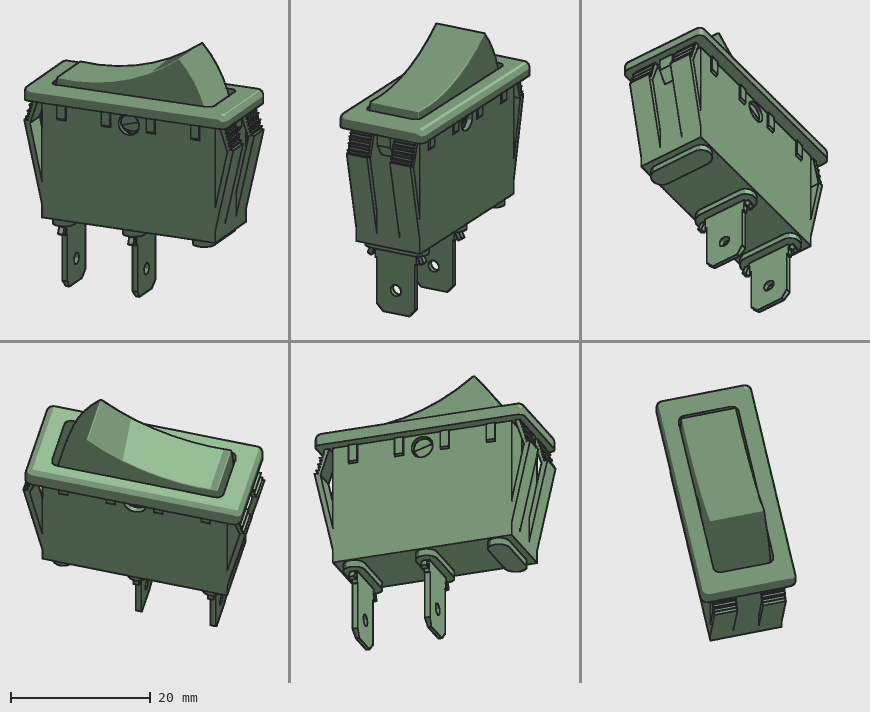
import cadquery as cq

BEZEL_X = 31.9
BEZEL_Y = 13.9
BEZEL_Z = 2.1
BEZEL_ROUND = 1.0
ROUND_GAP = 0.005
WINDOW_X = 25.35
WINDOW_Y = 8.78
WINDOW_ROUND = 1.0
WINDOW_FLOOR = -3.75

BODY_X = 27.3
BODY_Y = 10.45
BODY_Z = 17.92
BODY_SIDE = BODY_X / 2
BODY_FACE = BODY_Y / 2

RIB_PITCH = 7.0
RIB_COUNT = 4
RIB_X = 1.3
RIB_Z = 2.8
RIB_OUT = 0.25

WEDGE_Y = 2.15
WEDGE_OUT = 1.25
WEDGE_FLAT_Z = 2.02
WEDGE_Z = 3.85

CLIP_Y_INNER = 1.88
CLIP_TOP_INNER = 14.18
CLIP_TOP_OUTER = 14.9
CLIP_KNEE_INNER = 15.52
CLIP_KNEE_INNER_Z = -3.95
CLIP_ROOT_INNER_Z = -12.5
CLIP_ROOT_OUTER_Z = -15.98
CLIP_TIP = 16.45
TOOTH_START = 15.08
TOOTH_START_Z = -0.7
TOOTH_PAIRS = 3
TOOTHED_Z = 2.85
TOOTH_Z = TOOTHED_Z / (2 * TOOTH_PAIRS)
TOOTH_PAIR_STEP = 0.27
SMALL_TOOTH = 0.25
SMALL_TOOTH_FOOT = 0.13
LARGE_TOOTH = 0.6

FOOT_PITCH = 11.02
FOOT_PLACES = (-FOOT_PITCH, 0, FOOT_PITCH)
FOOT_WIDTH = 3.2
FOOT_LENGTH = 10.0
FOOT_Z = 1.0
TERMINAL_PLACES = FOOT_PLACES[:2]
TERMINAL_THICK = 0.82
TERMINAL_END = -28.9
SHOULDER_HALF = 3.45
SHOULDER_Z = -19.3
NECK_HALF = 3.38
NECK_Z = -20.78
BLADE_HALF = 3.1
TIP_CHAMFER = 0.98
TIP_Z = 1.12
TIP_THIN = 0.15
TERMINAL_HOLE = 1.7
TERMINAL_HOLE_Z = -25.28
BARB = ((4.2, SHOULDER_Z), (4.6, -20.25), (4.05, -20.6), (3.6, -19.7))

PIVOT_Z = -1.95
TILT = 16.0
ROCKER_Y = 8.0
ROCKER_TIP = (10.0, 8.15)
ROCKER_SIDE = (11.32, 4.9)
ROCKER_LOW_SIDE = (12.0, 0.55)
ROCKER_BOTTOM = -3.38
ROCKER_DIP_Z = 6.3
ROCKER_ROUND = 0.15
PIVOT_HOLE = 3.2
PIN = 2.8
PIN_RECESS = 0.38
RAMP_DEPTH = 0.82


def block(x, y, z_low, z_high):
    """Block centered on the Z axis between two heights."""
    return cq.Workplane("XY", origin=(0, 0, z_low)).rect(x, y).extrude(z_high - z_low)


def across_y(points, y_low, y_high):
    """Prism of an XZ outline between two Y places."""
    outline = cq.Workplane("XZ", origin=(0, y_low, 0)).polyline(points).close()
    return outline.extrude(y_low - y_high)


def both_x(shape):
    """The shape joined with its mirror image across X = 0."""
    return shape.union(shape.mirror("YZ"))


def both_y(shape):
    """The shape joined with its mirror image across Y = 0."""
    return shape.union(shape.mirror("XZ"))


def housing():
    bezel = block(BEZEL_X, BEZEL_Y, 0, BEZEL_Z).edges("|Z").fillet(BEZEL_ROUND)
    bezel = bezel.faces(">Z").edges().fillet(BEZEL_ROUND - ROUND_GAP)
    window = block(WINDOW_X, WINDOW_Y, WINDOW_FLOOR, BEZEL_Z).edges("|Z").fillet(WINDOW_ROUND)
    return bezel.union(block(BODY_X, BODY_Y, -BODY_Z, 0)).cut(window)


def ribs():
    profile = [
        (-BODY_FACE - RIB_OUT, 0),
        (-BODY_FACE - RIB_OUT, RIB_OUT - RIB_Z),
        (-BODY_FACE, -RIB_Z),
        (-BODY_FACE + RIB_OUT, -RIB_Z),
        (-BODY_FACE + RIB_OUT, 0),
    ]
    row = cq.Workplane("XY")
    for index in range(RIB_COUNT):
        x = (index - (RIB_COUNT - 1) / 2) * RIB_PITCH
        rib = cq.Workplane("YZ", origin=(x, 0, 0)).polyline(profile).close().extrude(RIB_X / 2, both=True)
        row = row.union(rib)
    return both_y(row)


def wedges():
    profile = [
        (BODY_SIDE, 0),
        (BODY_SIDE + WEDGE_OUT, 0),
        (BODY_SIDE + WEDGE_OUT, -WEDGE_FLAT_Z),
        (BODY_SIDE, -WEDGE_Z),
    ]
    return both_x(across_y(profile, -WEDGE_Y / 2, WEDGE_Y / 2))


def clips():
    points = [(CLIP_TOP_INNER, 0), (CLIP_TOP_OUTER, 0)]
    x = TOOTH_START
    z = TOOTH_START_Z
    for _ in range(TOOTH_PAIRS):
        points += [(x, z), (x + SMALL_TOOTH, z)]
        z -= TOOTH_Z
        points += [(x + SMALL_TOOTH_FOOT, z), (x + LARGE_TOOTH, z)]
        z -= TOOTH_Z
        x += TOOTH_PAIR_STEP
    points += [
        (x, z),
        (CLIP_TIP, z),
        (BODY_SIDE, CLIP_ROOT_OUTER_Z),
        (BODY_SIDE, CLIP_ROOT_INNER_Z),
        (CLIP_KNEE_INNER, CLIP_KNEE_INNER_Z),
    ]
    return both_x(both_y(across_y(points, CLIP_Y_INNER, BODY_FACE)))


def feet():
    plane = cq.Workplane("XY", origin=(0, 0, -BODY_Z))
    outline = plane.pushPoints([(place, 0) for place in FOOT_PLACES]).slot2D(FOOT_LENGTH, FOOT_WIDTH, 90)
    return outline.extrude(-FOOT_Z)


def terminal():
    half_outline = [
        (0, -BODY_Z),
        (SHOULDER_HALF, -BODY_Z),
        (SHOULDER_HALF, SHOULDER_Z),
        *BARB,
        (NECK_HALF, BARB[-1][1]),
        (NECK_HALF, NECK_Z),
        (BLADE_HALF, NECK_Z),
        (BLADE_HALF, TERMINAL_END + TIP_Z),
        (BLADE_HALF - TIP_CHAMFER, TERMINAL_END),
        (0, TERMINAL_END),
    ]
    half = cq.Workplane("YZ").polyline(half_outline).close().extrude(TERMINAL_THICK / 2, both=True)
    blade = both_y(half)
    blade = blade.faces("<Z").edges("|Y").chamfer(TIP_Z, TIP_THIN)
    hole = cq.Workplane("YZ", origin=(0, 0, TERMINAL_HOLE_Z)).circle(TERMINAL_HOLE / 2)
    return blade.cut(hole.extrude(TERMINAL_THICK, both=True))


def rocker():
    tip_x, tip_z = ROCKER_TIP
    side_x, side_z = ROCKER_SIDE
    low_x, low_z = ROCKER_LOW_SIDE
    paddle = (
        cq.Workplane("XZ")
        .moveTo(-tip_x, tip_z)
        .threePointArc((0, ROCKER_DIP_Z), ROCKER_TIP)
        .threePointArc(ROCKER_SIDE, ROCKER_LOW_SIDE)
        .lineTo(low_x, ROCKER_BOTTOM)
        .lineTo(-low_x, ROCKER_BOTTOM)
        .lineTo(-low_x, low_z)
        .threePointArc((-side_x, side_z), (-tip_x, tip_z))
        .close()
        .extrude(ROCKER_Y / 2, both=True)
    )
    upper_region = cq.selectors.BoxSelector((-low_x, -ROCKER_Y, 2 * low_z), (low_x, ROCKER_Y, 2 * tip_z))
    paddle = paddle.edges(upper_region).fillet(ROCKER_ROUND)
    pin_end = BODY_FACE - PIN_RECESS
    pin = cq.Workplane("XZ").circle(PIN / 2).extrude(pin_end, both=True)
    ramp_profile = [(-pin_end, 0), (-pin_end, -PIN / 2), (RAMP_DEPTH - pin_end, -PIN / 2)]
    ramp = cq.Workplane("YZ").polyline(ramp_profile).close().extrude(PIN, both=True)
    upright = paddle.union(pin.cut(both_y(ramp)))
    return upright.rotate((0, 0, 0), (0, 1, 0), -TILT).translate((0, 0, PIVOT_Z))


pivot_hole = cq.Workplane("XZ", origin=(0, 0, PIVOT_Z)).circle(PIVOT_HOLE / 2).extrude(BODY_Y, both=True)

result = housing().cut(pivot_hole)
for feature in (ribs(), wedges(), clips(), feet(), rocker()):
    result = result.union(feature)
for place in TERMINAL_PLACES:
    result = result.union(terminal().translate((place, 0, 0)))